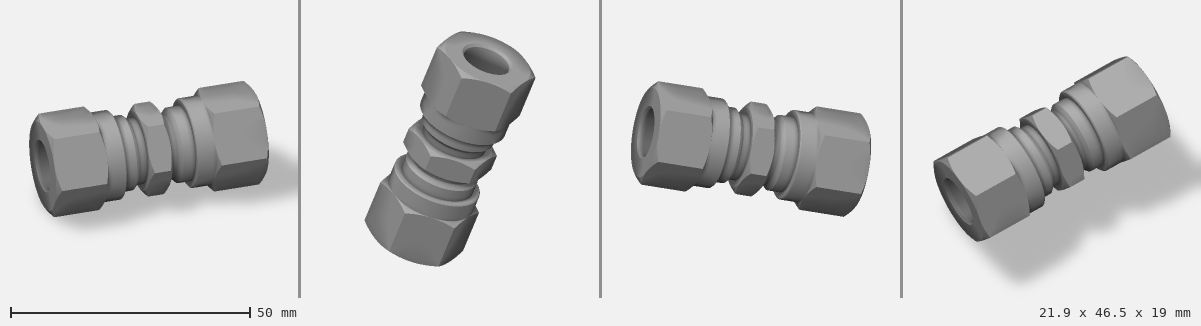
import cadquery as cq
import math

total_length = 46.55
nut_flats = 19.0
nut_hex_length = 11.55
collar_length = 4.0
collar_chamfer = 0.25
body_diameter = 16.0
cone_start = 18.25
neck_diameter = 14.05
center_hex_flats = 17.0
center_hex_length = 5.0
hex_chamfer_angle = 30.0
bore_diameter = 8.0
socket_diameter = 10.05
socket_depth = 17.7
mouth_diameter = 11.1

half_length = total_length / 2
collar_end = nut_hex_length + collar_length
cone_length = (body_diameter - neck_diameter) / 2
mouth_chamfer = (mouth_diameter - socket_diameter) / 2


def revolve_y(points):
    """Revolve an outline of (radius, y) points about the Y axis."""
    return cq.Workplane("XY").polyline(points).close().revolve(360, (0, 0), (0, 1))


def cylinder_y(diameter, length):
    """Cylinder on the Y axis, centred on the origin."""
    return cq.Workplane("XZ").circle(diameter / 2).extrude(length / 2, both=True)


def chamfered_hex(flats, length, y_center):
    """Hexagon with corners on X and conical chamfers on both ends."""
    corner_diameter = flats / math.cos(math.pi / 6)
    corner_radius = corner_diameter / 2
    flat_radius = flats / 2
    drop = (corner_radius - flat_radius) * math.tan(math.radians(hex_chamfer_angle))
    half = length / 2
    prism = cq.Workplane("XZ").polygon(6, corner_diameter).extrude(half, both=True)
    envelope = revolve_y([
        (0, -half),
        (flat_radius, -half),
        (corner_radius, drop - half),
        (corner_radius, half - drop),
        (flat_radius, half),
        (0, half),
    ])
    return prism.intersect(envelope).translate((0, y_center, 0))


def collar_and_body():
    """Round nut skirt, body step, cone and neck on the +Y half."""
    collar_radius = nut_flats / 2
    collar_y = half_length - collar_end
    cone_y = half_length - cone_start
    return revolve_y([
        (0, 0),
        (neck_diameter / 2, 0),
        (neck_diameter / 2, cone_y - cone_length),
        (body_diameter / 2, cone_y),
        (body_diameter / 2, collar_y),
        (collar_radius - collar_chamfer, collar_y),
        (collar_radius, collar_y + collar_chamfer),
        (collar_radius, half_length - nut_hex_length),
        (0, half_length - nut_hex_length),
    ])


def tube_socket():
    """Tube socket with a countersunk mouth at the +Y end."""
    return revolve_y([
        (0, half_length - socket_depth),
        (socket_diameter / 2, half_length - socket_depth),
        (socket_diameter / 2, half_length - mouth_chamfer),
        (mouth_diameter / 2, half_length),
        (0, half_length),
    ])


nut_hex = chamfered_hex(nut_flats, nut_hex_length, half_length - nut_hex_length / 2)
half_fitting = collar_and_body().union(nut_hex).cut(tube_socket())
result = (
    half_fitting
    .union(half_fitting.mirror("XZ"))
    .union(chamfered_hex(center_hex_flats, center_hex_length, 0))
    .cut(cylinder_y(bore_diameter, total_length))
)